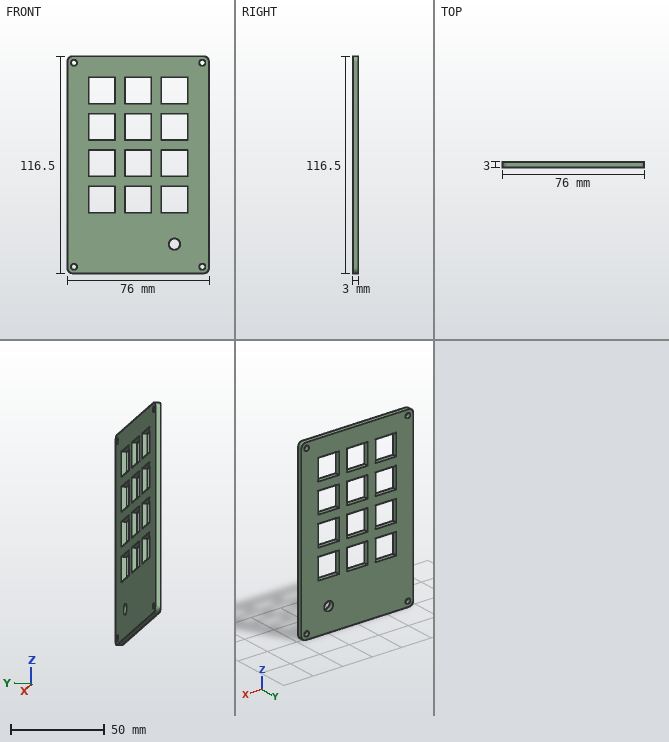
import cadquery as cq

width = 76.0
thickness = 3.0
height = 116.5
corner_radius = 3.0

screw_diameter = 3.1
screw_inset = 3.6

key_columns = 3
key_rows = 4
key_size = 14.0
key_pitch = 19.5
key_grid_center_z = 10.6

round_hole_diameter = 6.0
round_hole_x = key_pitch
round_hole_z = -42.5


def back_plane():
    """Workplane on the plate's back face: local x is X, local y is Z, normal is -Y."""
    return cq.Workplane("XZ").workplane(offset=-thickness / 2)


plate = (
    back_plane()
    .rect(width, height)
    .extrude(thickness)
    .edges("|Y")
    .fillet(corner_radius)
)

screw_holes = (
    back_plane()
    .rect(width - 2 * screw_inset, height - 2 * screw_inset, forConstruction=True)
    .vertices()
    .circle(screw_diameter / 2)
    .extrude(thickness)
)

key_openings = (
    back_plane()
    .center(0, key_grid_center_z)
    .rarray(key_pitch, key_pitch, key_columns, key_rows)
    .rect(key_size, key_size)
    .extrude(thickness)
)

round_hole = (
    back_plane()
    .center(round_hole_x, round_hole_z)
    .circle(round_hole_diameter / 2)
    .extrude(thickness)
)

result = plate.cut(screw_holes).cut(key_openings).cut(round_hole)